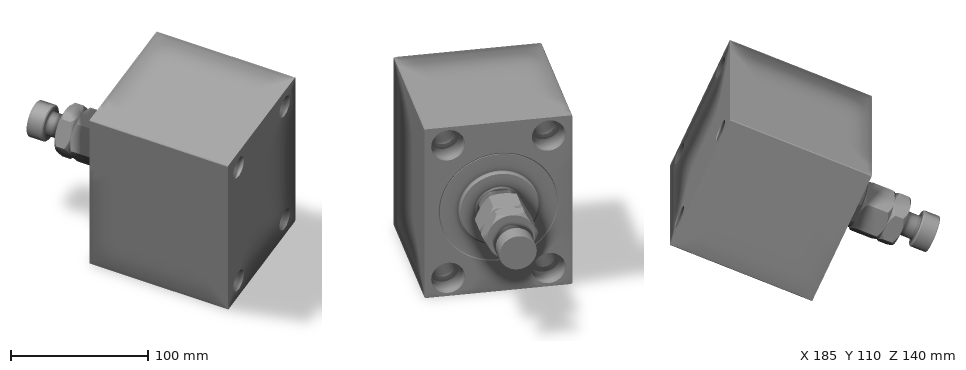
import cadquery as cq
import math


block_length = 113.0
block_width = 110.0
block_height = 140.0
block_edge_chamfer = 0.6

mount_spacing_y = 75.0
mount_spacing_z = 110.0
mount_hole_diameter = 17.0
mount_counterbore_diameter = 25.0
mount_counterbore_depth = 18.0

ring_groove_diameter = 89.0
ring_groove_width = 0.9

flange_diameter = 60.0
flange_height = 3.2
flange_chamfer = 1.2
wiper_seat_diameter = 39.0
wiper_seat_depth = 0.3
lip_diameter = 36.4
lip_height = 1.7
lip_chamfer = 0.5

rod_diameter = 35.0
rod_flats = 32.0
rod_end_chamfer = 0.6
rod_depth_in_block = 80.0

hex_across_flats = 36.0
hex_end_diameter = 35.8
nut_length = 22.0
coupling_hex_length = 12.3
stud_diameter = 24.0
stud_depth_in_rod = 30.0
neck_diameter = 18.2
neck_length = 11.9
neck_fillet = 1.0
head_diameter = 28.2
head_length = 12.9
head_back_chamfer = 0.8
head_front_chamfer = 0.4

flange_face_x = -flange_height
lip_face_x = flange_face_x - lip_height
coupling_total_length = head_length + neck_length + coupling_hex_length
overall_length = 185.0
head_face_x = block_length - overall_length
coupling_hex_back_x = head_face_x + coupling_total_length
rod_end_x = coupling_hex_back_x + nut_length


def cylinder(diameter, start_x, end_x):
    """Cylinder on the X axis between two stations."""
    return (
        cq.Workplane("YZ")
        .workplane(offset=start_x)
        .circle(diameter / 2)
        .extrude(end_x - start_x)
    )


def chamfered_hexagon(start_x, length):
    """Hexagonal prism with flats at +-Z and 45 degree conical corner chamfers at both ends."""
    across_corners = hex_across_flats / math.cos(math.pi / 6)
    prism = (
        cq.Workplane("YZ")
        .workplane(offset=start_x)
        .polygon(6, across_corners)
        .extrude(length)
    )
    corner_chamfer = (across_corners - hex_end_diameter) / 2
    envelope = cylinder(across_corners, start_x, start_x + length).edges().chamfer(corner_chamfer)
    return prism.intersect(envelope)


def make_block():
    """Block with chamfered long edges and four counterbored mounting holes."""
    block = (
        cq.Workplane("YZ")
        .rect(block_width, block_height)
        .extrude(block_length)
        .edges("|X")
        .chamfer(block_edge_chamfer)
    )
    return (
        block.faces("<X")
        .workplane(centerOption="CenterOfBoundBox")
        .rect(mount_spacing_y, mount_spacing_z, forConstruction=True)
        .vertices()
        .cboreHole(mount_hole_diameter, mount_counterbore_diameter, mount_counterbore_depth)
    )


def make_ring_groove():
    """Triangular ring cut: a 45 degree outer wall meeting a straight inner wall."""
    outer_radius = ring_groove_diameter / 2
    inner_radius = outer_radius - ring_groove_width
    return (
        cq.Workplane("XY")
        .moveTo(0, outer_radius)
        .lineTo(0, inner_radius)
        .lineTo(ring_groove_width, inner_radius)
        .close()
        .revolve(360, (0, 0, 0), (1, 0, 0))
    )


def make_housing():
    """Block, front flange and wiper lip, with a blind bore that fits the rod."""
    flange = cylinder(flange_diameter, flange_face_x, 0).faces("<X").edges().chamfer(flange_chamfer)
    wiper_seat_x = flange_face_x + wiper_seat_depth
    wiper_seat = cylinder(wiper_seat_diameter, flange_face_x, wiper_seat_x)
    lip = cylinder(lip_diameter, lip_face_x, wiper_seat_x).faces("<X").edges().chamfer(lip_chamfer)
    rod_bore = cylinder(rod_diameter, lip_face_x, rod_depth_in_block)
    return (
        make_block()
        .cut(make_ring_groove())
        .union(flange)
        .cut(wiper_seat)
        .union(lip)
        .cut(rod_bore)
    )


def make_rod():
    """Piston rod with four wrench flats at its free end and a blind hole for the stud."""
    shaft = cylinder(rod_diameter, rod_end_x, rod_depth_in_block)
    shaft = shaft.faces("<X").edges().chamfer(rod_end_chamfer)
    flats_length = lip_face_x - rod_end_x
    flats_waste = cylinder(rod_diameter, rod_end_x, lip_face_x).cut(
        cq.Workplane("YZ").workplane(offset=rod_end_x).rect(rod_flats, rod_flats).extrude(flats_length)
    )
    stud_hole = cylinder(stud_diameter, rod_end_x, rod_end_x + stud_depth_in_rod)
    return shaft.cut(flats_waste).cut(stud_hole)


def make_lock_nut():
    """Hexagonal nut between the coupling pin and the end of the rod."""
    stud_hole = cylinder(stud_diameter, coupling_hex_back_x, rod_end_x)
    return chamfered_hexagon(coupling_hex_back_x, nut_length).cut(stud_hole)


def make_coupling_pin():
    """Round head, filleted neck, hexagon and the stud that runs through the nut into the rod."""
    head_back_x = head_face_x + head_length
    hex_front_x = head_back_x + neck_length
    head_radius = head_diameter / 2
    neck_radius = neck_diameter / 2
    flare_radius = neck_radius + neck_fillet
    fillet_reach = neck_fillet * (1 - math.sqrt(0.5))
    head_and_neck = (
        cq.Workplane("XY")
        .moveTo(head_face_x, 0)
        .lineTo(head_face_x, head_radius - head_front_chamfer)
        .lineTo(head_face_x + head_front_chamfer, head_radius)
        .lineTo(head_back_x - head_back_chamfer, head_radius)
        .lineTo(head_back_x, head_radius - head_back_chamfer)
        .lineTo(head_back_x, flare_radius)
        .threePointArc(
            (head_back_x + fillet_reach, neck_radius + fillet_reach),
            (head_back_x + neck_fillet, neck_radius),
        )
        .lineTo(hex_front_x - neck_fillet, neck_radius)
        .threePointArc(
            (hex_front_x - fillet_reach, neck_radius + fillet_reach),
            (hex_front_x, flare_radius),
        )
        .lineTo(hex_front_x, 0)
        .close()
        .revolve(360, (0, 0, 0), (1, 0, 0))
    )
    stud = cylinder(stud_diameter, coupling_hex_back_x, rod_end_x + stud_depth_in_rod)
    return head_and_neck.union(chamfered_hexagon(hex_front_x, coupling_hex_length)).union(stud)


housing = make_housing()
rod = make_rod()
lock_nut = make_lock_nut()
coupling_pin = make_coupling_pin()

result = cq.Compound.makeCompound(
    [body.solids().val() for body in (housing, rod, lock_nut, coupling_pin)]
)